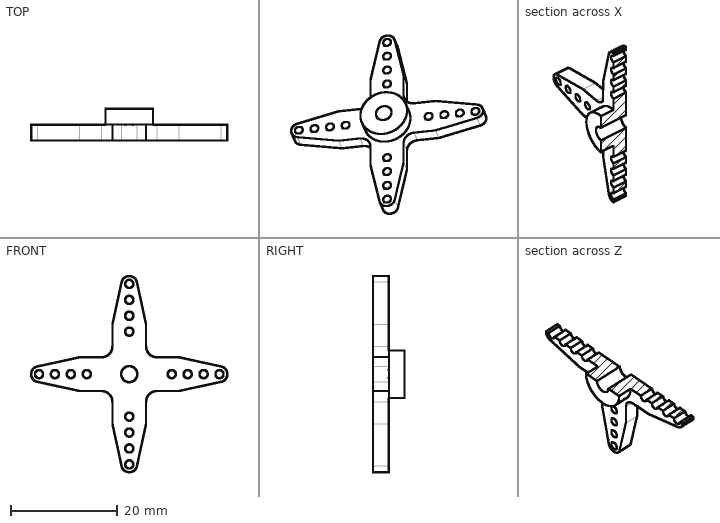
import cadquery as cq

plate_thickness = 3.0
arm_half_width = 3.2
taper_start = 9.35
inner_corner_radius = 2.0
tip_radius = 1.5
tip_centre = 17.0

hub_diameter = 9.0
hub_height = 3.0
bore_diameter = 3.0

arm_count = 4
arm_hole_diameter = 1.5
arm_hole_pitch = 3.0
arm_hole_count = 4

corner_run = tip_centre - taper_start
corner_distance_sq = corner_run**2 + arm_half_width**2
tangent_length = (corner_distance_sq - tip_radius**2) ** 0.5
along = tip_radius / corner_distance_sq
tangent_x = tip_centre + along * (arm_half_width * tangent_length - tip_radius * corner_run)
tangent_z = along * (tip_radius * arm_half_width + tangent_length * corner_run)


def extrude_back(sketch, depth):
    """Extrude an XZ sketch from the front face towards +Y."""
    return sketch.extrude(-depth)


def make_arm():
    """One arm pointing along +X, starting at the part centre."""
    outline = (
        cq.Workplane("XZ")
        .moveTo(0, -arm_half_width)
        .lineTo(taper_start, -arm_half_width)
        .lineTo(tangent_x, -tangent_z)
        .threePointArc((tip_centre + tip_radius, 0), (tangent_x, tangent_z))
        .lineTo(taper_start, arm_half_width)
        .lineTo(0, arm_half_width)
        .close()
    )
    return extrude_back(outline, plate_thickness)


def about_y(body, arm_index):
    """Turn a body about the Y axis to the position of the given arm."""
    return body.rotate((0, 0, 0), (0, 1, 0), arm_index * 360 / arm_count)


def make_plate():
    """The arms around a square centre, with the inner corners rounded."""
    centre = cq.Workplane("XZ").rect(2 * arm_half_width, 2 * arm_half_width)
    plate = extrude_back(centre, plate_thickness)
    for arm_index in range(arm_count):
        plate = plate.union(about_y(make_arm(), arm_index))
    plate = plate.clean()
    corner_reach = arm_half_width + inner_corner_radius / 2
    inner_corners = cq.selectors.BoxSelector(
        (-corner_reach, -plate_thickness, -corner_reach),
        (corner_reach, 2 * plate_thickness, corner_reach),
    )
    return plate.edges("|Y").edges(inner_corners).fillet(inner_corner_radius)


def make_hub():
    """Round hub standing on the back face of the plate."""
    profile = cq.Workplane("XZ").circle(hub_diameter / 2)
    return extrude_back(profile, plate_thickness + hub_height)


def make_arm_holes():
    """Cutters for the row of holes in the arm along +X."""
    positions = [(tip_centre - i * arm_hole_pitch, 0) for i in range(arm_hole_count)]
    holes = cq.Workplane("XZ").pushPoints(positions).circle(arm_hole_diameter / 2)
    return extrude_back(holes, plate_thickness)


def make_bore():
    """Cutter for the central hole through plate and hub."""
    profile = cq.Workplane("XZ").circle(bore_diameter / 2)
    return extrude_back(profile, plate_thickness + hub_height)


result = make_plate().union(make_hub()).cut(make_bore())
for arm_index in range(arm_count):
    result = result.cut(about_y(make_arm_holes(), arm_index))